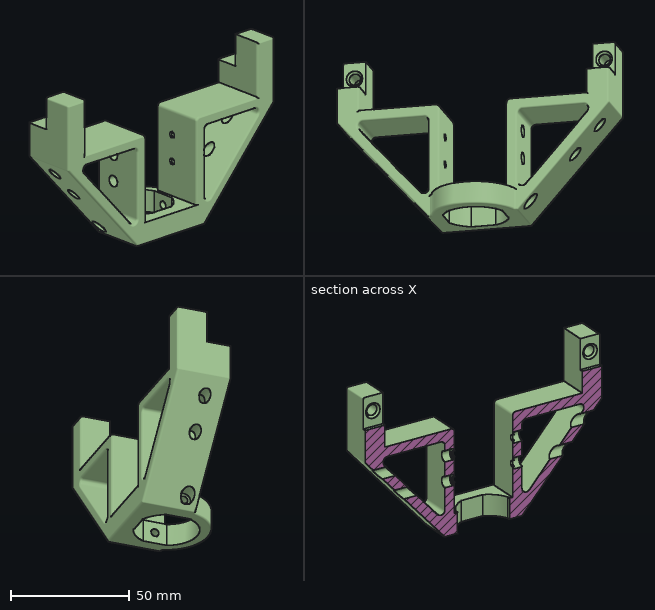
import cadquery as cq
import math


total_width = 119.0
total_height = 74.5
back_x = 19.2
wall = 5.0
edge_radius = 1.0

ring_radius = 19.0
bridge_height = 10.0
bore_flat_distance = 13.0

leg_depth = 24.6
leg_gap = 28.9
shelf_height = 49.7
shoulder_radius = 1.9
pocket_corner_radius = 2.0

tab_width = 10.0
step_height = 60.0
step_depth = 11.1
tab_hole_diameter = 5.0
tab_hole_depth = 10.0

wall_screw_x = 4.0
wall_screw_heights = (25.6, 37.6)
wall_screw_diameter = 2.7
wall_head_diameter = 5.0
wall_head_depth = 4.0

ring_screw_diameter = 3.5
ring_head_diameter = 6.0

half_width = total_width / 2
front_x = back_x - leg_depth
wall_inner_y = leg_gap / 2
wall_outer_y = wall_inner_y + wall
tab_inner_y = half_width - tab_width
pocket_top_z = shelf_height - wall
bore_radius = ring_radius - wall
slant_run = half_width - wall_outer_y
slant_rise = pocket_top_z
slant_length = math.hypot(slant_run, slant_rise)


def on_both_sides(shape):
    """Return the shape together with its mirror image across the XZ plane."""
    return shape.union(shape.mirror("XZ"))


def edge_along_x(y, z):
    """Selector for the frame edge that runs along X at the given Y and Z."""
    margin = 0.1
    return cq.selectors.BoxSelector(
        (front_x, y - margin, z - margin),
        (back_x, y + margin, z + margin),
    )


def make_frame():
    """Both legs with their tabs, joined at the bottom by the bridge."""
    shoulder = (wall_inner_y, shelf_height)
    tab_top = (half_width, total_height)
    slant_top = (half_width, slant_rise)
    slant_bottom = (wall_outer_y, 0)
    half_outline = [
        (wall_inner_y, bridge_height),
        shoulder,
        (tab_inner_y, shelf_height),
        (tab_inner_y, total_height),
        tab_top,
        slant_top,
        slant_bottom,
    ]
    mirrored_outline = [(-y, z) for y, z in reversed(half_outline)]
    frame = (
        cq.Workplane("YZ", origin=(front_x, 0, 0))
        .polyline(half_outline + mirrored_outline)
        .close()
        .extrude(leg_depth)
    )
    for side in (-1, 1):
        frame = frame.edges(edge_along_x(side * shoulder[0], shoulder[1])).fillet(shoulder_radius)
        for y, z in (tab_top, slant_top, slant_bottom):
            frame = frame.edges(edge_along_x(side * y, z)).fillet(edge_radius)
    return frame


def make_pockets():
    """Triangular openings that leave an even wall on all three sides of each leg."""
    slope = slant_rise / slant_run
    lowest_z = wall * slant_length / slant_run
    tip_y = wall_outer_y + (pocket_top_z - lowest_z) / slope
    pocket = (
        cq.Workplane("YZ", origin=(front_x, 0, 0))
        .polyline([(wall_outer_y, lowest_z), (wall_outer_y, pocket_top_z), (tip_y, pocket_top_z)])
        .close()
        .extrude(leg_depth)
        .edges("|X")
        .fillet(pocket_corner_radius)
    )
    return on_both_sides(pocket)


def round_front_and_back(frame):
    """Round the rims of the front and back faces, leaving the top of the bridge sharp."""
    margin = 0.1
    bridge_top = cq.selectors.BoxSelector(
        (front_x - margin, -margin, bridge_height - margin),
        (back_x + margin, margin, bridge_height + margin),
    )
    rims = cq.selectors.StringSyntaxSelector("<X or >X") - bridge_top
    return frame.edges(rims).fillet(edge_radius)


def make_ring():
    """Front of the ring, flaring into the front faces of the legs, with rounded top and bottom edges."""
    flare_x = front_x - edge_radius
    flare_y = math.sqrt((ring_radius + edge_radius) ** 2 - flare_x**2)
    tangent_scale = ring_radius / (ring_radius + edge_radius)
    tangent_x = tangent_scale * flare_x
    tangent_y = tangent_scale * flare_y
    start_angle = math.atan2(-flare_y, -flare_x)
    middle_x = flare_x + edge_radius * math.cos(start_angle / 2)
    middle_y = flare_y + edge_radius * math.sin(start_angle / 2)
    return (
        cq.Workplane("XY")
        .moveTo(0, flare_y)
        .lineTo(front_x, flare_y)
        .threePointArc((middle_x, middle_y), (tangent_x, tangent_y))
        .threePointArc((-ring_radius, 0), (tangent_x, -tangent_y))
        .threePointArc((middle_x, -middle_y), (front_x, -flare_y))
        .lineTo(0, -flare_y)
        .close()
        .extrude(bridge_height)
        .edges("%CIRCLE")
        .fillet(edge_radius)
    )


def make_bore():
    """Round bore with flats on both sides and at the back."""
    flats = (
        cq.Workplane("XY")
        .rect(bore_radius + bore_flat_distance, 2 * bore_flat_distance)
        .extrude(bridge_height)
        .translate(((bore_flat_distance - bore_radius) / 2, 0, 0))
    )
    return cq.Workplane("XY").circle(bore_radius).extrude(bridge_height).intersect(flats)


def make_steps():
    """Blocks that cut the tabs back at the front."""
    step = cq.Workplane("XY").box(
        step_depth, total_width, total_height - step_height, centered=(False, True, False)
    )
    return step.translate((front_x, 0, step_height))


def drill_tabs(body):
    """Blind holes with rounded mouths in the front faces of the tabs."""
    face_x = front_x + step_depth
    hole_y = half_width - tab_width / 2
    hole_z = (step_height + total_height) / 2
    mouth_radius = tab_hole_diameter / 2 + edge_radius
    profile = (
        cq.Workplane("XY")
        .lineTo(mouth_radius, 0)
        .radiusArc((tab_hole_diameter / 2, edge_radius), -edge_radius)
        .lineTo(tab_hole_diameter / 2, tab_hole_depth)
        .lineTo(0, tab_hole_depth)
        .close()
    )
    hole = profile.revolve(360, (0, 0, 0), (0, 1, 0)).rotate((0, 0, 0), (0, 0, 1), -90)
    return body.cut(on_both_sides(hole.translate((face_x, hole_y, hole_z))))


def y_cylinder(diameter, x, z, y_start, y_end):
    """Cylinder along Y between two Y positions."""
    start = cq.Plane(origin=(x, y_start, z), xDir=(1, 0, 0), normal=(0, 1, 0))
    return cq.Workplane(start).circle(diameter / 2).extrude(y_end - y_start)


def drill_along_y(body, x, z, diameter, head_diameter, head_floor_y):
    """Screw holes in both legs, opened to the head diameter from the outside."""
    screw = y_cylinder(diameter, x, z, 0, half_width)
    head = y_cylinder(head_diameter, x, z, head_floor_y, half_width)
    return body.cut(on_both_sides(screw.union(head)))


frame = round_front_and_back(make_frame().cut(make_pockets()))
body = frame.union(make_ring()).cut(make_bore()).cut(make_steps())
body = drill_tabs(body)

wall_head_floor_y = wall_outer_y - wall_head_depth
for height in wall_screw_heights:
    body = drill_along_y(
        body, wall_screw_x, height, wall_screw_diameter, wall_head_diameter, wall_head_floor_y
    )

body = drill_along_y(
    body, 0, bridge_height / 2, ring_screw_diameter, ring_head_diameter, wall_outer_y
)

result = body